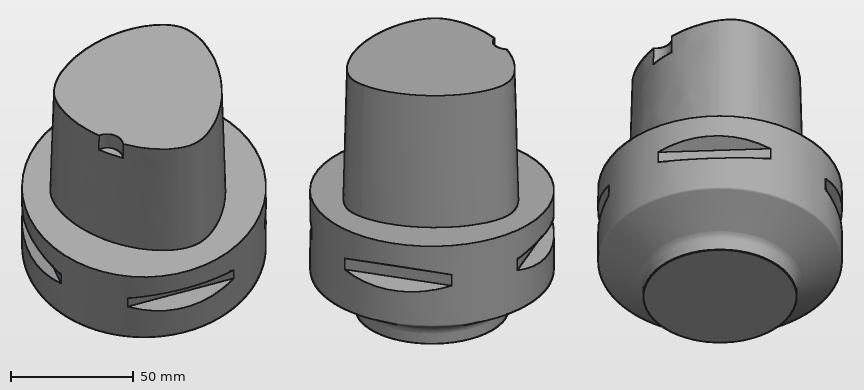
import cadquery as cq
import math

total_height = 115.0
flange_top = 54.9

flange_radius = 100.0 / 2
spigot_radius = 63.0 / 2
cone_start = 7.1
cone_angle = math.radians(30)
cone_end = cone_start + (flange_radius - spigot_radius) * math.tan(cone_angle)
spigot_fillet = 3.7
spigot_chamfer = 0.2
flange_edge_fillet = 1.2

shank_base_width = 71.9
shank_taper = 1 / 20
shank_height = total_height - flange_top
shank_top_width = shank_base_width - shank_taper * shank_height
lobe_offset = 2.59
corner_half_angle = 24.5
lobe_directions = (90, 210, 330)
lobe_spacing = 120
samples_per_span = 8

groove_flat_distance = 44.4
groove_flat_height = 5.1
groove_height = 38.9
groove_flank_slope = math.tan(math.radians(30))
groove_cut_depth = 11.5
groove_cut_length = 69.0

notch_radius = 6.7
notch_center_y = -35.4
notch_depth = 8.4


def make_body():
    """Revolved spigot, cone and flange with rounded transitions."""
    body = (
        cq.Workplane("XZ")
        .moveTo(0, 0)
        .lineTo(spigot_radius - spigot_chamfer, 0)
        .lineTo(spigot_radius, spigot_chamfer)
        .lineTo(spigot_radius, cone_start)
        .lineTo(flange_radius, cone_end)
        .lineTo(flange_radius, flange_top)
        .lineTo(0, flange_top)
        .close()
        .revolve(360, (0, 0, 0), (0, 1, 0))
    )
    cone_root = cq.selectors.NearestToPointSelector((0, 0, cone_start))
    body = body.edges(cone_root).fillet(spigot_fillet)
    cone_rim = cq.selectors.NearestToPointSelector((0, 0, cone_end))
    return body.edges(cone_rim).fillet(flange_edge_fillet)


def lobe_point(width, normal_angle, height):
    """Point of the lobed outline where the outward normal has the given angle in degrees."""
    angle = math.radians(normal_angle)
    lobe_phase = 3 * (angle - math.radians(lobe_directions[0]))
    support = width / 2 + lobe_offset * math.cos(lobe_phase)
    support_slope = -3 * lobe_offset * math.sin(lobe_phase)
    x = support * math.cos(angle) - support_slope * math.sin(angle)
    y = support * math.sin(angle) + support_slope * math.cos(angle)
    return cq.Vector(x, y, height)


def lobe_tangent(normal_angle):
    angle = math.radians(normal_angle)
    return cq.Vector(-math.sin(angle), math.cos(angle), 0)


def lobe_span(width, height, start, end):
    """Smooth outline piece between two normal angles."""
    step = (end - start) / samples_per_span
    points = [lobe_point(width, start + i * step, height) for i in range(samples_per_span + 1)]
    return cq.Edge.makeSpline(points, tangents=[lobe_tangent(start), lobe_tangent(end)])


def lobe_wire(width, height):
    """Closed outline: a tight corner followed by a broad flank, three times."""
    spans = []
    for direction in lobe_directions:
        corner_start = direction - corner_half_angle
        corner_end = direction + corner_half_angle
        spans.append(lobe_span(width, height, corner_start, corner_end))
        spans.append(lobe_span(width, height, corner_end, corner_start + lobe_spacing))
    return cq.Wire.assembleEdges(spans)


def make_shank():
    base = lobe_wire(shank_base_width, flange_top)
    top = lobe_wire(shank_top_width, total_height)
    return cq.Workplane(obj=cq.Solid.makeLoft([base, top], True))


def make_groove(direction):
    """Trapezoidal cutter with a flat floor and flanks opening outwards."""
    inner_half = groove_flat_height / 2
    outer_half = inner_half + groove_cut_depth * groove_flank_slope
    outer_distance = groove_flat_distance + groove_cut_depth
    return (
        cq.Workplane("XZ")
        .moveTo(groove_flat_distance, groove_height - inner_half)
        .lineTo(outer_distance, groove_height - outer_half)
        .lineTo(outer_distance, groove_height + outer_half)
        .lineTo(groove_flat_distance, groove_height + inner_half)
        .close()
        .extrude(groove_cut_length / 2, both=True)
        .rotate((0, 0, 0), (0, 0, 1), direction)
    )


def make_notch():
    return (
        cq.Workplane("XY", origin=(0, notch_center_y, total_height - notch_depth))
        .circle(notch_radius)
        .extrude(notch_depth)
    )


result = make_body().union(make_shank())
for groove_direction in (45, 135, 225, 315):
    result = result.cut(make_groove(groove_direction))
result = result.cut(make_notch())